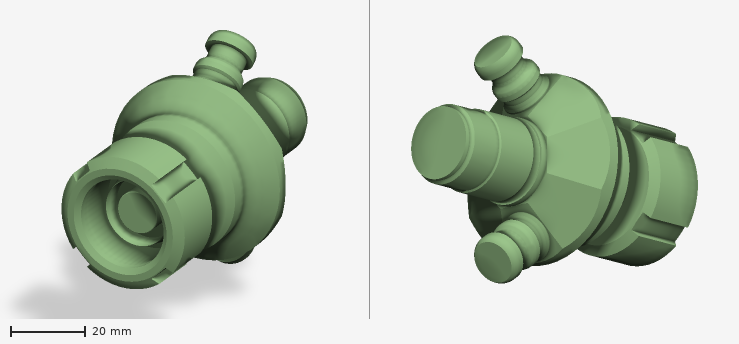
import cadquery as cq
import math


NUT_LENGTH = 18.1
NUT_RADIUS = 19.1
NUT_FACE_RADIUS = 16.3
NUT_CHAMFER_LENGTH = 1.6
NUT_MOUTH_RADIUS = 14.4
NUT_BORE_RADIUS = 25.5 / 2
NUT_MOUTH_DEPTH = 1.2
NUT_BORE_DEPTH = 15.9
NUT_GROOVE_WIDTH = 6.05
NUT_GROOVE_FLOOR = 16.55
NUT_GROOVE_COUNT = 4

NECK_RADIUS = 18.1 / 2
NOZZLE_BASE_RADIUS = 22.0 / 2
NOZZLE_LIP_RADIUS = 19.0 / 2
NOZZLE_LIP_Y = 8.9
NOZZLE_FLOOR_RADIUS = 9.1
NOZZLE_FLOOR_Y = 14.3
POPPET_RADIUS = 6.05
POPPET_CHAMFER = 0.2
POPPET_FACE_Y = 9.2

LOWER_CONE_START_Y = 19.1
BAND_RADIUS = 19.1
BAND_START_Y = 28.9
FLANGE_RADIUS = 52.0 / 2
FLANGE_START_Y = 41.0
BAND_FILLET = 0.8
COLLAR_RADIUS = 24.0 / 2
COLLAR_START_Y = 53.9
COLLAR_END_Y = 56.1
UNDERCUT_RADIUS = 10.75
UNDERCUT_MIDDLE_Y = 57.5
SLEEVE_RADIUS = 23.0 / 2
SLEEVE_START_Y = 58.8
SLEEVE_END_Y = 71.6
SLEEVE_STEP_LENGTH = 0.4
TAIL_RADIUS = 22.0 / 2
TAIL_CHAMFER_Y = 81.65
TIP_RADIUS = 20.0 / 2
TIP_START_Y = 82.4
TOTAL_LENGTH = 84.0

PYRAMID_SIDES = 8
FACE_TILT = 35.0

VALVE_COUNT = 2
VALVE_OFFSET = 19.6
VALVE_LENGTH = 16.7
VALVE_FOOT_RADIUS = 7.3
VALVE_FOOT_HEIGHT = 0.5
VALVE_NECK_RADIUS = 12.5 / 2
VALVE_FLARE_RADIUS = 6.8
VALVE_FLARE_HEIGHT = 1.1
VALVE_NECK_START = 2.1
VALVE_NECK_END = 3.8
VALVE_BULGE_RADIUS = 14.0 / 2
VALVE_BULGE_START = 4.45
VALVE_BULGE_END = 6.05
VALVE_STEM_RADIUS = 10.5 / 2
VALVE_STEM_START = 9.5
VALVE_CAP_START = 12.6
VALVE_CAP_SHOULDER = 14.4
VALVE_CAP_TOP_RADIUS = 12.0 / 2


def revolve_about_y(outline):
    """Revolve a closed outline drawn as (radius, y) about the Y axis."""
    return outline.revolve(360, (0, 0, 0), (0, 1, 0))


def make_nut():
    chamfer_end = NUT_LENGTH - NUT_CHAMFER_LENGTH
    nut = revolve_about_y(
        cq.Workplane("XY")
        .moveTo(NUT_MOUTH_RADIUS, 0)
        .lineTo(NUT_FACE_RADIUS, 0)
        .lineTo(NUT_RADIUS, NUT_CHAMFER_LENGTH)
        .lineTo(NUT_RADIUS, chamfer_end)
        .lineTo(NUT_FACE_RADIUS, NUT_LENGTH)
        .lineTo(NECK_RADIUS, NUT_LENGTH)
        .lineTo(NECK_RADIUS, NUT_BORE_DEPTH)
        .lineTo(NUT_BORE_RADIUS, NUT_BORE_DEPTH)
        .lineTo(NUT_BORE_RADIUS, NUT_MOUTH_DEPTH)
        .close()
    )
    groove = cq.Workplane("XY").box(
        NUT_RADIUS, NUT_LENGTH, NUT_GROOVE_WIDTH, centered=(False, False, True)
    ).translate((NUT_GROOVE_FLOOR, 0, 0))
    pitch = 360 / NUT_GROOVE_COUNT
    for index in range(NUT_GROOVE_COUNT):
        nut = nut.cut(groove.rotate((0, 0, 0), (0, 1, 0), pitch * (index + 0.5)))
    return nut


def make_revolved_housing():
    cone_end_y = FLANGE_START_Y - (FLANGE_RADIUS - BAND_RADIUS)
    tangent = BAND_FILLET * math.tan(math.radians(22.5))
    on_cone = tangent * math.sqrt(0.5)
    return revolve_about_y(
        cq.Workplane("XY")
        .moveTo(0, POPPET_FACE_Y)
        .lineTo(POPPET_RADIUS - POPPET_CHAMFER, POPPET_FACE_Y)
        .lineTo(POPPET_RADIUS, POPPET_FACE_Y + POPPET_CHAMFER)
        .lineTo(POPPET_RADIUS, NOZZLE_FLOOR_Y)
        .lineTo(NOZZLE_FLOOR_RADIUS, NOZZLE_FLOOR_Y)
        .lineTo(NOZZLE_LIP_RADIUS, NOZZLE_LIP_Y)
        .lineTo(NOZZLE_BASE_RADIUS, NUT_BORE_DEPTH)
        .lineTo(NECK_RADIUS, NUT_BORE_DEPTH)
        .lineTo(NECK_RADIUS, LOWER_CONE_START_Y)
        .lineTo(BAND_RADIUS, BAND_START_Y)
        .lineTo(BAND_RADIUS, cone_end_y - tangent)
        .tangentArcPoint((BAND_RADIUS + on_cone, cone_end_y + on_cone), relative=False)
        .lineTo(FLANGE_RADIUS, FLANGE_START_Y)
        .lineTo(FLANGE_RADIUS, COLLAR_START_Y)
        .lineTo(COLLAR_RADIUS, COLLAR_START_Y)
        .lineTo(COLLAR_RADIUS, COLLAR_END_Y)
        .lineTo(SLEEVE_RADIUS, COLLAR_END_Y)
        .threePointArc((UNDERCUT_RADIUS, UNDERCUT_MIDDLE_Y), (SLEEVE_RADIUS, SLEEVE_START_Y))
        .lineTo(SLEEVE_RADIUS, SLEEVE_END_Y)
        .lineTo(TAIL_RADIUS, SLEEVE_END_Y + SLEEVE_STEP_LENGTH)
        .lineTo(TAIL_RADIUS, TAIL_CHAMFER_Y)
        .lineTo(TIP_RADIUS, TIP_START_Y)
        .lineTo(TIP_RADIUS, TOTAL_LENGTH)
        .lineTo(0, TOTAL_LENGTH)
        .close()
    )


def make_face_cutter():
    """Wedge above the sloping face on the +Z side, up to the collar's end plane."""
    reach = 2 * FLANGE_RADIUS
    drop = (reach - COLLAR_RADIUS) * math.tan(math.radians(FACE_TILT))
    return (
        cq.Workplane("YZ")
        .moveTo(COLLAR_START_Y, COLLAR_RADIUS)
        .lineTo(COLLAR_START_Y, reach)
        .lineTo(COLLAR_START_Y - drop, reach)
        .close()
        .extrude(reach, both=True)
    )


def make_housing():
    housing = make_revolved_housing()
    cutter = make_face_cutter()
    for index in range(PYRAMID_SIDES):
        angle = index * 360 / PYRAMID_SIDES
        housing = housing.cut(cutter.rotate((0, 0, 0), (0, 1, 0), angle))
    return housing


def make_valve(angle):
    """Valve built along its own Z axis, set on the top face, then turned about Y."""
    outline = (
        cq.Workplane("XZ")
        .moveTo(0, 0)
        .lineTo(VALVE_FOOT_RADIUS, 0)
        .lineTo(VALVE_FOOT_RADIUS, VALVE_FOOT_HEIGHT)
        .lineTo(VALVE_FLARE_RADIUS, VALVE_FLARE_HEIGHT)
        .lineTo(VALVE_NECK_RADIUS, VALVE_NECK_START)
        .lineTo(VALVE_NECK_RADIUS, VALVE_NECK_END)
        .lineTo(VALVE_BULGE_RADIUS, VALVE_BULGE_START)
        .lineTo(VALVE_BULGE_RADIUS, VALVE_BULGE_END)
        .spline(
            [(VALVE_STEM_RADIUS, VALVE_STEM_START)],
            tangents=[(0, 1), (0, 1)],
            includeCurrent=True,
        )
        .lineTo(VALVE_STEM_RADIUS, VALVE_CAP_START)
        .lineTo(VALVE_BULGE_RADIUS, VALVE_CAP_START)
        .lineTo(VALVE_BULGE_RADIUS, VALVE_CAP_SHOULDER)
        .tangentArcPoint((VALVE_CAP_TOP_RADIUS, VALVE_LENGTH), relative=False)
        .lineTo(0, VALVE_LENGTH)
        .close()
    )
    valve = outline.revolve(360, (0, 0, 0), (0, 1, 0))
    foot_y = COLLAR_START_Y - (VALVE_OFFSET - COLLAR_RADIUS) * math.tan(math.radians(FACE_TILT))
    return (
        valve.rotate((0, 0, 0), (1, 0, 0), FACE_TILT - 90)
        .translate((0, foot_y, VALVE_OFFSET))
        .rotate((0, 0, 0), (0, 1, 0), angle)
    )


nut = make_nut()
housing = make_housing()
valves = [make_valve(index * 360 / VALVE_COUNT) for index in range(VALVE_COUNT)]

result = cq.Compound.makeCompound(
    [housing.solids().val(), nut.solids().val(), *[valve.val() for valve in valves]]
)